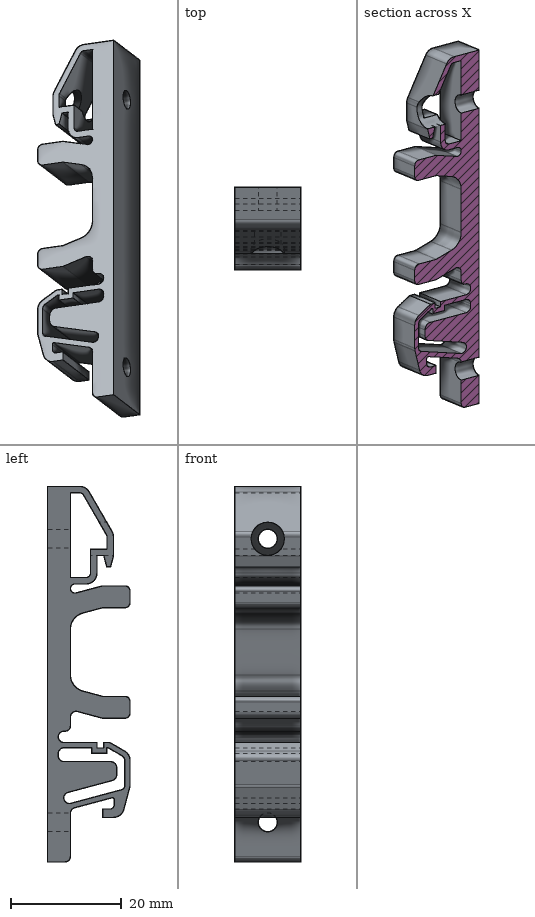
import cadquery as cq
import math


RAIL_WIDTH = 12.0
RAIL_DEPTH = 15.0
RAIL_HEIGHT = 68.0
BASE_DEPTH = 4.2
BASE_END_RADIUS = 1.0
MIN_STRAIGHT = 1e-4
SLOPE = math.tan(math.radians(15))
STEEP_ANGLE = math.radians(60)
SHALLOW_ANGLE = math.radians(30)
BEND_RADIUS = 2.0

ARM_CENTER = 38.0
CHANNEL_GAP = 16.0
ARM_THICKNESS = 4.0
ARM_BEND_DEPTH = 10.0
ARM_TIP_RADIUS = 1.0
CHANNEL_RADIUS = 3.0
ARM_ROOT_RADIUS = 1.0
ARM_INNER = CHANNEL_GAP / 2
ARM_OUTER = ARM_INNER + ARM_THICKNESS
ARM_RISE = (ARM_BEND_DEPTH - BASE_DEPTH) * SLOPE

UPPER_DEPTH = 12.0
UPPER_BEND_HEIGHT = 59.35
UPPER_BEND_DEPTH = UPPER_DEPTH - (RAIL_HEIGHT - UPPER_BEND_HEIGHT) / math.tan(STEEP_ANGLE)
UPPER_WALL = 1.2
SHELF_BOTTOM = 55.45
STEP_DEPTH = 9.0
STEP_BOTTOM = 50.3
LIP_TAPER_HEIGHT = 55.4
LIP_TIP_HEIGHT = 53.4
LIP_ROOT_DEPTH = 10.2
CLEFT_RADIUS = 0.8

LOWER_WALL = 1.0
SLOT_DEPTH = 2.0
SLOT_HEIGHT = 2.0
SLOT_RADIUS = SLOT_HEIGHT / 2
SLOT_MOUTH_RADIUS = 1.0
TONGUE_TOP = 21.65
TONGUE_BOTTOM = TONGUE_TOP - LOWER_WALL
NOTCH_START = 9.0
NOTCH_END = 10.2
NOTCH_WALL = 1.0
BUMP_END = 10.8
ROOF_START = 11.3
ROOF_DROP = (RAIL_DEPTH - ROOF_START) * math.tan(SHALLOW_ANGLE)
FRONT_BEND_HEIGHT = 13.75
HOOK_BOTTOM = 8.05
HOOK_FLOOR = 9.6
HOOK_TIP_DEPTH = 10.0
HOOK_WALL_DEPTH = 12.1
HOOK_INNER_RADIUS = 0.8
HOOK_TOP_RADIUS = 0.3
WEB_ROOT_RADIUS = 1.0
FINGER_TOP = 18.2
FINGER_DEPTH = 12.6
FINGER_TIP_HEIGHT = 14.95
FINGER_RADIUS = 1.2
GROOVE_DEPTH = 3.0
GROOVE_GAP = 2.0
GROOVE_RADIUS = GROOVE_GAP / 2
CAVITY_CORNER_RADIUS = 0.7

SCREW_DIAMETER = 3.4
HEAD_DIAMETER = 6.0
UPPER_SCREW_HEIGHT = 58.5
LOWER_SCREW_HEIGHT = 7.2


def finger_underside(depth):
    """Height of the sloped underside of the finger."""
    return FINGER_TIP_HEIGHT - (FINGER_DEPTH - depth) * SLOPE


def web_top(depth):
    """Height of the web's upper face, one groove gap below the finger."""
    return finger_underside(depth) - GROOVE_GAP * math.hypot(1, SLOPE)


def web_underside(depth):
    """Height of the web's lower face."""
    return web_top(depth) - LOWER_WALL * math.hypot(1, SLOPE)


def section_point(depth, height):
    """Point of the section in the local (Y, Z) plane."""
    return cq.Vector(-depth, height)


def corner_arc(before, corner, after):
    """Start, middle and end of the arc that rounds one (depth, height, radius) corner."""
    depth, height, radius = corner
    vertex = section_point(depth, height)
    to_before = (section_point(*before[:2]) - vertex).normalized()
    to_after = (section_point(*after[:2]) - vertex).normalized()
    half_angle = to_before.getAngle(to_after) / 2
    tangent = radius / math.tan(half_angle)
    bisector = (to_before + to_after).normalized()
    middle = vertex + bisector * (radius / math.sin(half_angle) - radius)
    return vertex + to_before * tangent, middle, vertex + to_after * tangent


def rounded_prism(corners):
    """Extrude a closed outline of (depth, height, radius) corners over the rail width.

    The first corner is sharp.
    """
    first = section_point(*corners[0][:2])
    outline = cq.Workplane("YZ", origin=(-RAIL_WIDTH / 2, 0, 0)).moveTo(first.x, first.y)
    position = first
    for before, corner, after in zip(corners, corners[1:], corners[2:] + corners[:1]):
        start, middle, end = corner_arc(before, corner, after)
        if (start - position).Length > MIN_STRAIGHT:
            outline = outline.lineTo(start.x, start.y)
        if corner[2] > 0:
            outline = outline.threePointArc((middle.x, middle.y), (end.x, end.y))
        position = end
    return outline.close().extrude(RAIL_WIDTH)


def upper_clip_outline():
    """Outer corners from the top of the back face down to the cleft above the upper arm."""
    taper = (LIP_TAPER_HEIGHT - LIP_TIP_HEIGHT) * SLOPE
    lip_inner_taper = (SHELF_BOTTOM - LIP_TIP_HEIGHT) * SLOPE
    return [
        (0, RAIL_HEIGHT, 0),
        (UPPER_BEND_DEPTH, RAIL_HEIGHT, BEND_RADIUS),
        (UPPER_DEPTH, UPPER_BEND_HEIGHT, BEND_RADIUS),
        (UPPER_DEPTH, LIP_TAPER_HEIGHT, 0),
        (UPPER_DEPTH - taper, LIP_TIP_HEIGHT, 0),
        (LIP_ROOT_DEPTH + lip_inner_taper, LIP_TIP_HEIGHT, 0),
        (LIP_ROOT_DEPTH, SHELF_BOTTOM, 0),
        (STEP_DEPTH, SHELF_BOTTOM, 0),
        (STEP_DEPTH, STEP_BOTTOM, BEND_RADIUS),
        (BASE_DEPTH, STEP_BOTTOM, CLEFT_RADIUS),
    ]


def arm_outline():
    """Corners of both arms and the channel between them, from top to bottom."""
    upper_half = [
        (BASE_DEPTH, ARM_OUTER - ARM_RISE, CLEFT_RADIUS),
        (ARM_BEND_DEPTH, ARM_OUTER, 0),
        (RAIL_DEPTH, ARM_OUTER, ARM_TIP_RADIUS),
        (RAIL_DEPTH, ARM_INNER, ARM_TIP_RADIUS),
        (ARM_BEND_DEPTH, ARM_INNER, 0),
        (BASE_DEPTH, ARM_INNER - ARM_RISE, CHANNEL_RADIUS),
    ]
    lower_half = upper_half[::-1]
    lower_half[-1] = (BASE_DEPTH, ARM_OUTER - ARM_RISE, ARM_ROOT_RADIUS)
    upper = [(depth, ARM_CENTER + offset, radius) for depth, offset, radius in upper_half]
    lower = [(depth, ARM_CENTER - offset, radius) for depth, offset, radius in lower_half]
    return upper + lower


def lower_clip_outline():
    """Outer corners from the slot below the lower arm to the bottom of the back face."""
    hook_taper = (FRONT_BEND_HEIGHT - HOOK_BOTTOM) * SLOPE
    slot_top = TONGUE_TOP + SLOT_HEIGHT
    return [
        (BASE_DEPTH, slot_top, SLOT_MOUTH_RADIUS),
        (SLOT_DEPTH, slot_top, SLOT_RADIUS),
        (SLOT_DEPTH, TONGUE_TOP, SLOT_RADIUS),
        (NOTCH_START, TONGUE_TOP, 0),
        (NOTCH_START, TONGUE_BOTTOM, 0),
        (NOTCH_END, TONGUE_BOTTOM, 0),
        (NOTCH_END, TONGUE_TOP, 0),
        (ROOF_START, TONGUE_TOP, 0),
        (RAIL_DEPTH, TONGUE_TOP - ROOF_DROP, BEND_RADIUS),
        (RAIL_DEPTH, FRONT_BEND_HEIGHT, BEND_RADIUS),
        (RAIL_DEPTH - hook_taper, HOOK_BOTTOM, BEND_RADIUS),
        (HOOK_TIP_DEPTH, HOOK_BOTTOM, 0),
        (HOOK_TIP_DEPTH, HOOK_FLOOR, 0),
        (HOOK_WALL_DEPTH, HOOK_FLOOR, HOOK_INNER_RADIUS),
        (HOOK_WALL_DEPTH, web_underside(HOOK_WALL_DEPTH), HOOK_TOP_RADIUS),
        (BASE_DEPTH, web_underside(BASE_DEPTH), WEB_ROOT_RADIUS),
        (BASE_DEPTH, 0, BASE_END_RADIUS),
        (0, 0, 0),
    ]


def upper_pocket():
    """Closed pocket between the base and the upper clip."""
    top = RAIL_HEIGHT - UPPER_WALL
    front = UPPER_DEPTH - UPPER_WALL
    step_front = STEP_DEPTH - UPPER_WALL
    step_floor = STEP_BOTTOM + UPPER_WALL
    inner_bend_radius = BEND_RADIUS - UPPER_WALL
    shelf_top = SHELF_BOTTOM + UPPER_WALL
    bend_shift = UPPER_WALL * math.tan(STEEP_ANGLE / 2)
    lower_bend_shift = UPPER_WALL * math.tan((math.pi / 2 - STEEP_ANGLE) / 2)
    return rounded_prism([
        (BASE_DEPTH, top, 0),
        (UPPER_BEND_DEPTH - bend_shift, top, inner_bend_radius),
        (front, UPPER_BEND_HEIGHT - lower_bend_shift, inner_bend_radius),
        (front, shelf_top, 0),
        (step_front, shelf_top, 0),
        (step_front, step_floor, inner_bend_radius),
        (BASE_DEPTH, step_floor, 0),
    ])


def lower_cavity():
    """Closed cavity of the lower clip, wrapping around the finger."""
    front = RAIL_DEPTH - LOWER_WALL
    bump_bottom = TONGUE_BOTTOM - LOWER_WALL
    roof_start = ROOF_START - LOWER_WALL * math.tan(SHALLOW_ANGLE / 2)
    roof_end = TONGUE_BOTTOM - (front - roof_start) * math.tan(SHALLOW_ANGLE)
    return rounded_prism([
        (NOTCH_START - NOTCH_WALL, TONGUE_BOTTOM, 0),
        (NOTCH_START - NOTCH_WALL, bump_bottom, 0),
        (BUMP_END, bump_bottom, 0),
        (BUMP_END, TONGUE_BOTTOM, 0),
        (roof_start, TONGUE_BOTTOM, 0),
        (front, roof_end, BEND_RADIUS - LOWER_WALL),
        (front, web_top(front), CAVITY_CORNER_RADIUS),
        (GROOVE_DEPTH, web_top(GROOVE_DEPTH), GROOVE_RADIUS),
        (GROOVE_DEPTH, finger_underside(GROOVE_DEPTH), GROOVE_RADIUS),
        (FINGER_DEPTH, FINGER_TIP_HEIGHT, FINGER_RADIUS),
        (FINGER_DEPTH, FINGER_TOP, FINGER_RADIUS),
        (SLOT_DEPTH, FINGER_TOP, SLOT_RADIUS),
        (SLOT_DEPTH, TONGUE_BOTTOM, SLOT_RADIUS),
    ])


def bore(diameter, height, start_depth, end_depth):
    """Cylinder along Y, centered on the rail width."""
    return (
        cq.Workplane("XZ", origin=(0, -start_depth, height))
        .circle(diameter / 2)
        .extrude(end_depth - start_depth)
    )


result = rounded_prism(upper_clip_outline() + arm_outline() + lower_clip_outline())
result = result.cut(upper_pocket()).cut(lower_cavity())

for screw_height in (UPPER_SCREW_HEIGHT, LOWER_SCREW_HEIGHT):
    result = result.cut(bore(SCREW_DIAMETER, screw_height, 0, BASE_DEPTH))

result = result.cut(bore(HEAD_DIAMETER, UPPER_SCREW_HEIGHT, BASE_DEPTH, RAIL_DEPTH))